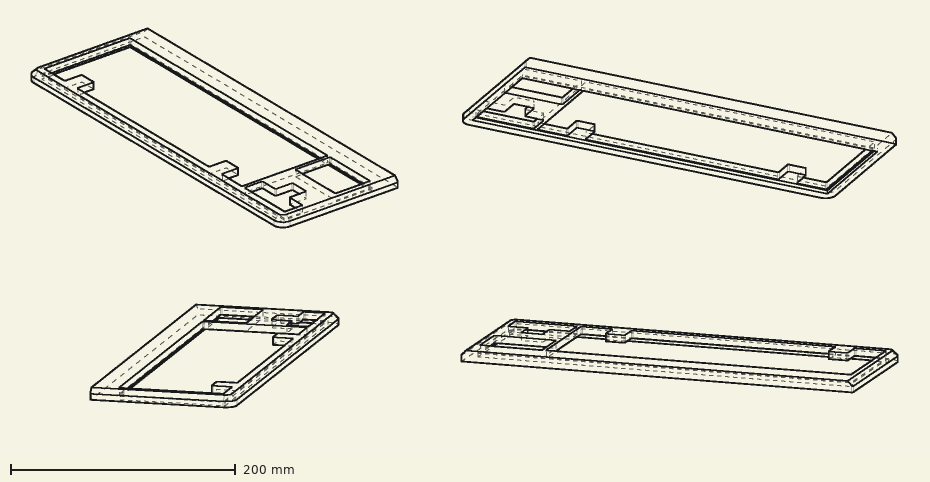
import cadquery as cq

length = 368.5
width = 132.5
height = 10.5
front_corner_radius = 10.0
rear_corner_radius = 1.3
edge_chamfer = 4.8

field_length = 347.5
main_columns = 15
side_columns = 3
side_gap_keys = 0.25
rows = 5
navigation_rows = 2
tab_offset_keys = 1.5
key_pitch = field_length / (main_columns + side_columns + side_gap_keys)
field_width = rows * key_pitch

clearance = 0.5
opening_radius = 1.05

recess_depth = 3.5
recess_margin = 2.2
recess_length = field_length + 2 * recess_margin
recess_width = field_width + 2 * recess_margin

field_left = -field_length / 2
field_top = 41.5
field_bottom = field_top - field_width
main_right = field_left + main_columns * key_pitch
side_left = main_right + side_gap_keys * key_pitch


def key_block(left, bottom, columns, row_count, margin):
    """Full-height block covering a group of keys, enlarged by margin on each side."""
    block_length = columns * key_pitch + 2 * margin
    block_width = row_count * key_pitch + 2 * margin
    return (
        cq.Workplane("XY")
        .box(block_length, block_width, height, centered=False)
        .translate((left - margin, bottom - margin, 0))
    )


def round_corners(opening):
    """Round every upright edge of an opening."""
    return opening.edges("|Z").fillet(opening_radius)


def make_frame():
    """Slab with rounded upright corners and a chamfer on all top edges but the rear."""
    slab = cq.Workplane("XY").box(length, width, height, centered=(True, True, False))
    rear_rounding = slab.edges("|Z and >Y").fillet(rear_corner_radius)
    slab = slab.edges("|Z and <Y").fillet(front_corner_radius)
    slab = slab.faces(">Z").edges("not >Y").chamfer(edge_chamfer)
    return slab.intersect(rear_rounding)


def make_underside_recess():
    """Shallow pocket that thins the key plate, tabs and divider from below."""
    return (
        cq.Workplane("XY")
        .box(recess_length, recess_width, recess_depth, centered=False)
        .translate((field_left - recess_margin, field_bottom - recess_margin, 0))
    )


def make_main_opening():
    """Main key field, notched along the front row by two one-key tabs."""
    opening = key_block(field_left, field_bottom, main_columns, rows, clearance)
    tab_offset = tab_offset_keys * key_pitch
    first_tab = field_left + tab_offset
    second_tab = main_right - tab_offset - key_pitch
    for tab_left in (first_tab, second_tab):
        tab = key_block(tab_left, field_bottom - key_pitch, 1, 2, -clearance)
        opening = opening.cut(tab)
    return round_corners(opening)


def make_navigation_opening():
    """Rectangular block of keys at the rear of the side columns."""
    bottom = field_top - navigation_rows * key_pitch
    return round_corners(key_block(side_left, bottom, side_columns, navigation_rows, clearance))


def make_arrow_opening():
    """Inverted T: three keys in the front row and one above the middle."""
    front_row = key_block(side_left, field_bottom, side_columns, 1, clearance)
    up_key = key_block(side_left + key_pitch, field_bottom, 1, 2, clearance)
    return round_corners(front_row.union(up_key))


result = (
    make_frame()
    .cut(make_underside_recess())
    .cut(make_main_opening())
    .cut(make_navigation_opening())
    .cut(make_arrow_opening())
)